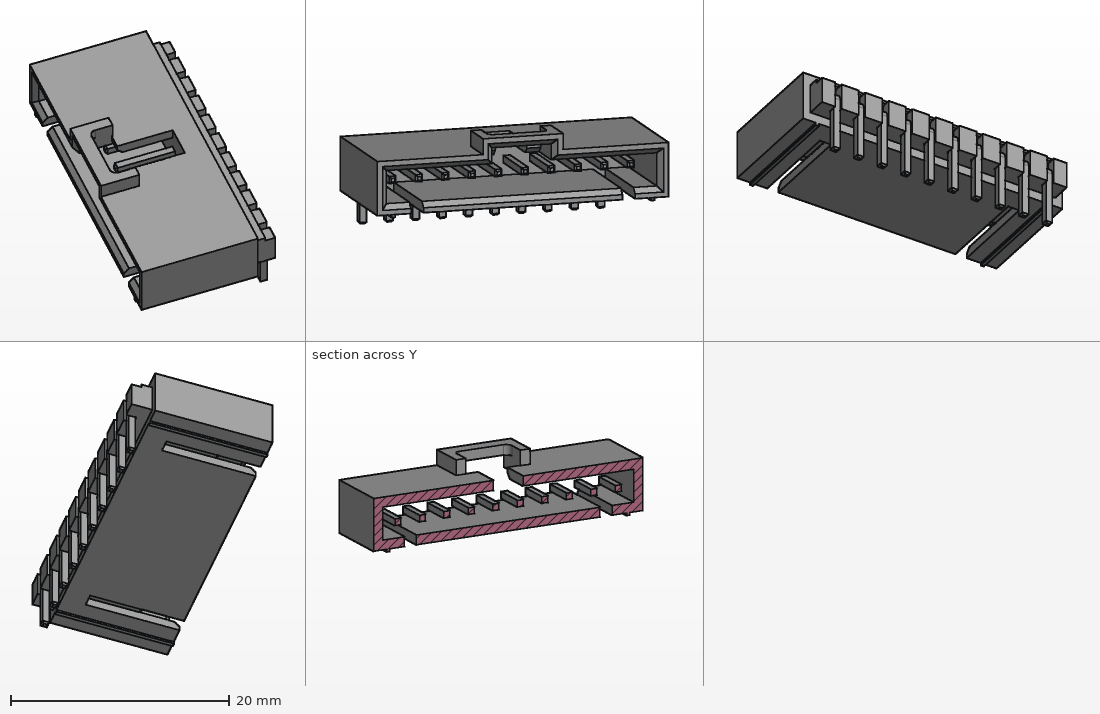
import cadquery as cq
import math


housing_width = 27.95
housing_depth = 11.45
housing_height = 5.1
wall = 1.0
floor_thickness = 0.98
cavity_depth = 9.17
lead_in = 0.5

bridge_width = 7.7
bridge_height = 1.48
bridge_depth = 3.77
bridge_bar = 1.48
window_corner_radius = 0.55
window_depth = 3.7
bridge_inner_width = bridge_width - 2 * wall

roof_slot_width = 3.05
floor_slot_width = 1.2
floor_slot_offset = 10.15

block_width = 26.38
block_bottom = 0.92
block_top = 3.97
block_depth = 13.47
block_step_depth = 12.5
block_step_top = 3.63

pin_count = 10
pin_span = 22.85
pitch = pin_span / (pin_count - 1)
pin_size = 0.67
pin_tip = 0.17
pin_front = 3.35
pin_height = 2.5
pin_bottom = -3.52
leg_center = 12.9
bend_inner_radius = 0.1
notch_width = 0.7

rib_offset = 12.45
rib_width = 0.34
rib_height = 0.25
rib_overhang = 0.03


def box(x_size, y_start, y_end, z_start, z_end, x_center=0):
    """Box given by its X size and centre and by its Y and Z limits."""
    return (
        cq.Workplane("XY")
        .box(x_size, y_end - y_start, z_end - z_start, centered=(True, False, False))
        .translate((x_center, y_start, z_start))
    )


def mouth_wire(y, growth):
    """Closed hat-shaped cavity outline at depth y, enlarged by growth on every side."""
    half_width = housing_width / 2 - wall + growth
    half_bridge = bridge_inner_width / 2 + growth
    bottom = floor_thickness - growth
    shoulder = housing_height - wall + growth
    top = housing_height + bridge_height - wall + growth
    outline = [
        (-half_width, bottom),
        (half_width, bottom),
        (half_width, shoulder),
        (half_bridge, shoulder),
        (half_bridge, top),
        (-half_bridge, top),
        (-half_bridge, shoulder),
        (-half_width, shoulder),
    ]
    return cq.Wire.makePolygon([cq.Vector(x, y, z) for x, z in outline], close=True)


def make_shell():
    """Housing block with bridge and rear block, before hollowing."""
    bridge_top = housing_height + bridge_height
    shell = box(housing_width, 0, housing_depth, 0, housing_height)
    shell = shell.union(box(bridge_width, 0, bridge_depth, 0, bridge_top))
    shell = shell.union(box(block_width, cavity_depth, block_step_depth, block_bottom, block_top))
    shell = shell.union(box(block_width, cavity_depth, block_depth, block_bottom, block_step_top))
    return shell


def make_cavity():
    """Plug cavity, its flared mouth and the space under the latch bridge."""
    cavity = box(housing_width - 2 * wall, 0, cavity_depth, floor_thickness, housing_height - wall)
    bridge_ceiling = housing_height + bridge_height - wall
    tunnel = box(bridge_inner_width, 0, window_depth, floor_thickness, bridge_ceiling)
    tunnel_exit = box(bridge_inner_width, 0, bridge_depth, housing_height, bridge_ceiling)
    flare = cq.Solid.makeLoft([mouth_wire(0, lead_in), mouth_wire(lead_in, 0)], True)
    return cavity.union(tunnel).union(tunnel_exit).union(cq.Workplane(flare))


def make_bridge_window():
    """Opening in the bridge roof, open to the rear, with rounded front corners."""
    bridge_top = housing_height + bridge_height
    window = box(bridge_inner_width, bridge_bar, bridge_depth, housing_height, bridge_top)
    return window.edges("|Z and <Y").fillet(window_corner_radius)


def make_roof_relief():
    """Bevel under the rear edge of the roof opening."""
    ceiling = housing_height - wall
    return (
        cq.Workplane("YZ")
        .moveTo(window_depth, ceiling)
        .lineTo(window_depth + lead_in, ceiling)
        .lineTo(window_depth, ceiling + lead_in)
        .close()
        .extrude(bridge_inner_width / 2, both=True)
    )


def make_pin(x):
    """Square pin with a rounded right-angle bend and two pyramidal tips."""
    half = pin_size / 2
    outer_radius = bend_inner_radius + pin_size
    bend_y = leg_center - half - bend_inner_radius
    bend_z = pin_height - half - bend_inner_radius
    diagonal = math.sqrt(0.5)
    pin = (
        cq.Workplane("YZ", origin=(x - half, 0, 0))
        .moveTo(pin_front, pin_height - half)
        .lineTo(bend_y, pin_height - half)
        .threePointArc(
            (bend_y + bend_inner_radius * diagonal, bend_z + bend_inner_radius * diagonal),
            (leg_center - half, bend_z),
        )
        .lineTo(leg_center - half, pin_bottom)
        .lineTo(leg_center + half, pin_bottom)
        .lineTo(leg_center + half, bend_z)
        .threePointArc(
            (bend_y + outer_radius * diagonal, bend_z + outer_radius * diagonal),
            (bend_y, pin_height + half),
        )
        .lineTo(pin_front, pin_height + half)
        .close()
        .extrude(pin_size)
    )
    return pin.faces("<Y or <Z").chamfer(pin_tip)


pin_positions = [(i - (pin_count - 1) / 2) * pitch for i in range(pin_count)]

body = make_shell().cut(make_cavity()).cut(make_bridge_window()).cut(make_roof_relief())

body = body.cut(box(roof_slot_width, window_depth, cavity_depth, floor_thickness, housing_height))

for side in (-1, 1):
    rib = box(rib_width, -rib_overhang, housing_depth, -rib_height, 0, side * rib_offset)
    body = body.union(rib)
    body = body.cut(box(floor_slot_width, 0, cavity_depth, 0, floor_thickness, side * floor_slot_offset))

for x in pin_positions:
    body = body.cut(box(notch_width, block_step_depth, block_depth, block_bottom, block_step_top, x))
    body = body.union(make_pin(x))

result = body